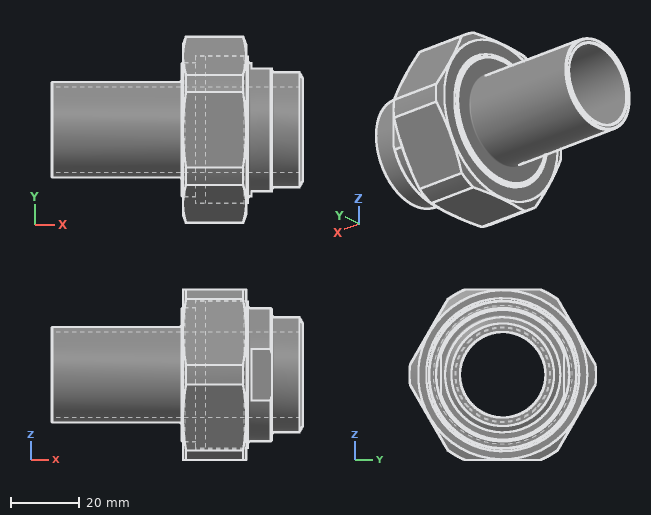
import cadquery as cq
import math

LENGTH = 73.5
BORE_D = 25.0

TUBE_D = 28.0
TUBE_EDGE = 0.3
BORE_EDGE = 0.2
TUBE_FILLET = 0.4
SHOULDER_X = 37.9
SHOULDER_D = 39.0
SHOULDER_EDGE = 0.3
FLANGE_D = 43.0
FLANGE_THICKNESS = 2.95

NUT_START_X = 38.4
NUT_END_X = 56.95
ACROSS_FLATS = 50.0
CORNER_D = 54.7
NUT_FACE_D = 49.55
NUT_CHAMFER_LENGTH = 0.95
NUT_LIP = 3.7
LIP_HOLE_D = 39.5
LIP_HOLE_CHAMFER = 0.6
NUT_BORE_D = 43.4
NUT_MOUTH_D = 44.8

INNER_END_X = 57.4
INNER_D = 43.0
COLLAR_D = 39.0
COLLAR_END_X = 64.5
COLLAR_EDGE = 0.5
COLLAR_FILLET = 0.9
FLAT_START_X = 58.5
FLAT_WIDTH = 36.0
SPIGOT_D = 33.7
SPIGOT_FILLET = 0.6
SPIGOT_TIP_D = 30.05
SPIGOT_CHAMFER_LENGTH = 1.0

LIP_END_X = NUT_START_X + NUT_LIP
JOINT_X = LIP_END_X + FLANGE_THICKNESS

DIAGONAL = math.sqrt(0.5)


def revolve_about_x(profile):
    """Turn a closed (x, radius) profile around the X axis."""
    return profile.close().revolve(360, (0, 0, 0), (1, 0, 0))


def fillet_arc(profile, center, radius, start, end):
    """Add a concave quarter arc; start and end are unit directions from its center."""
    middle = ((start[0] + end[0]) * DIAGONAL, (start[1] + end[1]) * DIAGONAL)

    def at(way):
        return (center[0] + radius * way[0], center[1] + radius * way[1])

    return profile.lineTo(*at(start)).threePointArc(at(middle), at(end))


def make_tailpiece():
    bore_r = BORE_D / 2
    tube_r = TUBE_D / 2
    shoulder_r = SHOULDER_D / 2
    profile = (
        cq.Workplane("XY")
        .moveTo(BORE_EDGE, bore_r)
        .lineTo(0, bore_r + BORE_EDGE)
        .lineTo(0, tube_r - TUBE_EDGE)
        .lineTo(TUBE_EDGE, tube_r)
    )
    center = (SHOULDER_X - TUBE_FILLET, tube_r + TUBE_FILLET)
    profile = fillet_arc(profile, center, TUBE_FILLET, (0, -1), (1, 0))
    profile = (
        profile.lineTo(SHOULDER_X, shoulder_r - SHOULDER_EDGE)
        .lineTo(SHOULDER_X + SHOULDER_EDGE, shoulder_r)
        .lineTo(LIP_END_X, shoulder_r)
        .lineTo(LIP_END_X, FLANGE_D / 2)
        .lineTo(JOINT_X, FLANGE_D / 2)
        .lineTo(JOINT_X, bore_r)
    )
    return revolve_about_x(profile)


def make_nut():
    hexagon = (
        cq.Workplane("YZ", origin=(NUT_START_X, 0, 0))
        .polygon(6, ACROSS_FLATS, circumscribed=True)
        .extrude(NUT_END_X - NUT_START_X)
        .rotate((0, 0, 0), (1, 0, 0), 90)
    )
    lip_r = LIP_HOLE_D / 2
    bore_r = NUT_BORE_D / 2
    mouth_r = NUT_MOUTH_D / 2
    profile = (
        cq.Workplane("XY")
        .moveTo(NUT_START_X, lip_r + LIP_HOLE_CHAMFER)
        .lineTo(NUT_START_X, NUT_FACE_D / 2)
        .lineTo(NUT_START_X + NUT_CHAMFER_LENGTH, CORNER_D / 2)
        .lineTo(NUT_END_X - NUT_CHAMFER_LENGTH, CORNER_D / 2)
        .lineTo(NUT_END_X, NUT_FACE_D / 2)
        .lineTo(NUT_END_X, mouth_r)
        .lineTo(NUT_END_X - (mouth_r - bore_r), bore_r)
        .lineTo(LIP_END_X, bore_r)
        .lineTo(LIP_END_X, lip_r)
        .lineTo(NUT_START_X + LIP_HOLE_CHAMFER, lip_r)
    )
    return hexagon.intersect(revolve_about_x(profile))


def make_body():
    bore_r = BORE_D / 2
    collar_r = COLLAR_D / 2
    spigot_r = SPIGOT_D / 2
    profile = (
        cq.Workplane("XY")
        .moveTo(JOINT_X, bore_r)
        .lineTo(JOINT_X, INNER_D / 2)
        .lineTo(INNER_END_X, INNER_D / 2)
    )
    center = (INNER_END_X + COLLAR_FILLET, collar_r + COLLAR_FILLET)
    profile = fillet_arc(profile, center, COLLAR_FILLET, (-1, 0), (0, -1))
    profile = (
        profile.lineTo(COLLAR_END_X - COLLAR_EDGE, collar_r)
        .lineTo(COLLAR_END_X, collar_r - COLLAR_EDGE)
    )
    center = (COLLAR_END_X + SPIGOT_FILLET, spigot_r + SPIGOT_FILLET)
    profile = fillet_arc(profile, center, SPIGOT_FILLET, (-1, 0), (0, -1))
    profile = (
        profile.lineTo(LENGTH - SPIGOT_CHAMFER_LENGTH, spigot_r)
        .lineTo(LENGTH, SPIGOT_TIP_D / 2)
        .lineTo(LENGTH, bore_r)
    )
    body = revolve_about_x(profile)

    cut_depth = (INNER_D - FLAT_WIDTH) / 2
    for side in (-1, 1):
        cutter = cq.Workplane("XY").box(
            COLLAR_END_X - FLAT_START_X, cut_depth, INNER_D, centered=(False, True, True)
        )
        body = body.cut(cutter.translate((FLAT_START_X, side * (FLAT_WIDTH + cut_depth) / 2, 0)))
    return body


tailpiece = make_tailpiece()
nut = make_nut()
body = make_body()

result = cq.Compound.makeCompound([tailpiece.val(), nut.solids().val(), body.solids().val()])